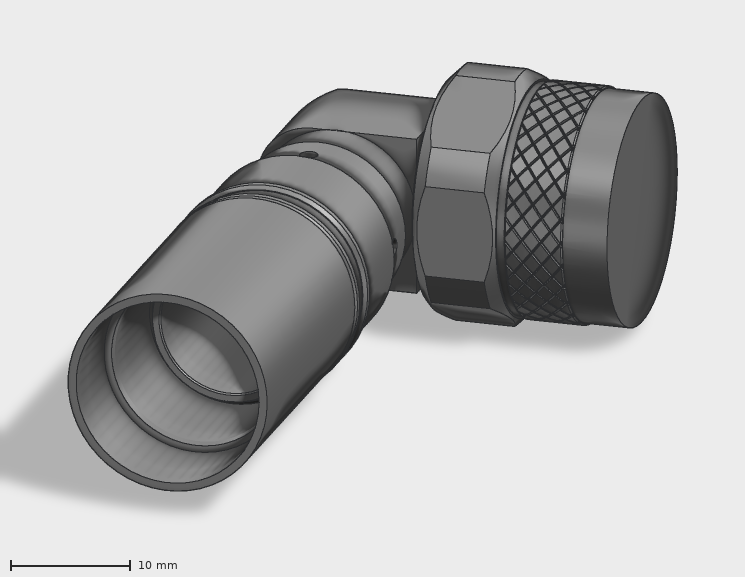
import cadquery as cq
import math


elbow_half = 7.0
elbow_half_height = 6.85
elbow_edge_radius = 4.85
elbow_corner_cut = 7.9

neck_radius = 6.9
neck_end = -11.4
groove_radius = 6.65
groove_end = -11.75
collar_radius = 7.5
collar_end = -17.8
body_radius = 8.4
body_end = -29.7
rim_outer_radius = 8.0
rim_end = -46.45

bead_radius = 8.8
bead_width = 1.2
bead_bevel = 0.3
bead_centers = (-26.2, -29.05)

sleeve_radius = 8.7
sleeve_offset = -0.05
sleeve_end = -54.3

bore_mouth_radius = 7.4
bore_radius = 7.3
bore_mouth_length = 0.65
bore_end = -36.2

tip_shoulder_radius = 7.0
tip_radius = 6.65
tip_bevel = bore_radius - tip_shoulder_radius
tip_length = 1.3
tip_bore_radius = 6.1
tip_bore_chamfer = 0.1
tip_bore_floor = -18.7

hole_diameter = 1.55
hole_depth = 1.95
hole_y = -14.9

pin_radius = 5.35
flange_start = 7.1
flange_radius = 8.7
nut_start = 7.5
nut_end = 14.85
nut_flat_half = 10.3
nut_corner_radius = 22.0 / 2
nut_back_radius = 9.75
nut_front_radius = 10.1
nose_radius = 9.9
nose_end = 24.55

knurl_start = 15.55
knurl_end = 20.7
knurl_radius = 10.1
knurl_bevel = 0.1
knurl_count = 30
knurl_angle_pitch = 360 / knurl_count
knurl_axial_pitch = 1.7
knurl_groove_slope = 16
knurl_groove_floor = 0.01
pad_base_height = 9.8
knurl_crossing = 17.95
knurl_rows = range(-3, 5)


def cylinder_y(radius, start, end, x=0):
    """Cylinder along Y between two Y positions."""
    return cq.Workplane("XZ", origin=(x, start, 0)).circle(radius).extrude(start - end)


def cylinder_x(radius, start, end):
    """Cylinder along X between two X positions."""
    return cq.Workplane("YZ", origin=(start, 0, 0)).circle(radius).extrude(end - start)


def make_elbow():
    """Block with rounded outer edges mitred at the 45 degree corner cut."""
    side = 2 * elbow_half
    block = cq.Workplane("XY").box(side, side, 2 * elbow_half_height)
    upright = block.edges("|Y and <X").fillet(elbow_edge_radius)
    crosswise = block.edges("|X and >Y").fillet(elbow_edge_radius)
    corner = (
        cq.Workplane("XY", origin=(0, 0, -elbow_half_height))
        .moveTo(-elbow_half, elbow_half)
        .lineTo(-elbow_half + elbow_corner_cut, elbow_half)
        .lineTo(-elbow_half, elbow_half - elbow_corner_cut)
        .close()
        .extrude(2 * elbow_half_height)
    )
    return upright.intersect(crosswise).cut(corner)


def make_bead(center):
    """Bevelled ring around the body."""
    return (
        cylinder_y(bead_radius, center + bead_width / 2, center - bead_width / 2)
        .faces("<Y or >Y")
        .chamfer(bead_bevel)
    )


def make_barrel():
    """Stepped barrel with beads, sleeve, bore and solder holes."""
    barrel = cylinder_y(neck_radius, -elbow_half, neck_end)
    barrel = barrel.union(cylinder_y(groove_radius, neck_end, groove_end))
    barrel = barrel.union(cylinder_y(collar_radius, groove_end, collar_end))
    barrel = barrel.union(cylinder_y(body_radius, collar_end, body_end))
    for center in bead_centers:
        barrel = barrel.union(make_bead(center))
    barrel = barrel.union(cylinder_y(sleeve_radius, body_end, sleeve_end, sleeve_offset))

    barrel = barrel.cut(cylinder_y(rim_outer_radius, rim_end, sleeve_end, sleeve_offset))
    tip_face = bore_end - tip_length
    tip_bore_inner_radius = tip_bore_radius - tip_bore_chamfer
    bore_profile = (
        cq.Workplane("XY")
        .moveTo(0, rim_end)
        .lineTo(bore_mouth_radius, rim_end)
        .lineTo(bore_radius, rim_end + bore_mouth_length)
        .lineTo(bore_radius, bore_end)
        .lineTo(tip_shoulder_radius, bore_end - tip_bevel)
        .lineTo(tip_radius, tip_face)
        .lineTo(tip_bore_radius, tip_face)
        .lineTo(tip_bore_inner_radius, tip_face + tip_bore_chamfer)
        .lineTo(tip_bore_inner_radius, tip_bore_floor)
        .lineTo(0, tip_bore_floor)
        .close()
    )
    barrel = barrel.cut(bore_profile.revolve(360, (0, 0, 0), (0, 1, 0)))

    drill = (
        cq.Workplane("XY", origin=(0, hole_y, collar_radius - hole_depth))
        .circle(hole_diameter / 2)
        .extrude(2 * hole_depth)
    )
    for angle in (0, 90, 180, 270):
        barrel = barrel.cut(drill.rotate((0, 0, 0), (0, 1, 0), angle))
    return barrel


def make_hexagon():
    """Hexagon with flats on +Y and -Y, turned and chamfered at both ends."""
    hexagon = (
        cq.Workplane("YZ", origin=(nut_start, 0, 0))
        .polygon(6, 2 * nut_flat_half, circumscribed=True)
        .extrude(nut_end - nut_start)
    )
    back_chamfer = nut_corner_radius - nut_back_radius
    front_chamfer = nut_corner_radius - nut_front_radius
    turned = (
        cq.Workplane("XY")
        .moveTo(nut_start, 0)
        .lineTo(nut_start, nut_back_radius)
        .lineTo(nut_start + back_chamfer, nut_corner_radius)
        .lineTo(nut_end - front_chamfer, nut_corner_radius)
        .lineTo(nut_end, nut_front_radius)
        .lineTo(nut_end, 0)
        .close()
        .revolve(360, (0, 0, 0), (1, 0, 0))
    )
    return hexagon.intersect(turned)


def make_pad(row, band):
    """One diamond pad of a row, trimmed to the knurled band."""
    half_length = knurl_axial_pitch / 2 - knurl_groove_floor
    half_width = pad_base_height * math.tan(math.radians(knurl_angle_pitch / 2)) - knurl_groove_floor
    center = knurl_crossing + row * knurl_axial_pitch / 2
    pad = (
        cq.Workplane("XY", origin=(center, 0, pad_base_height))
        .moveTo(-half_length, 0)
        .lineTo(0, -half_width)
        .lineTo(half_length, 0)
        .lineTo(0, half_width)
        .close()
        .extrude(knurl_radius - pad_base_height + knurl_groove_floor, taper=knurl_groove_slope)
    )
    return pad.intersect(band).val()


def make_knurl_pads():
    """All pads of the diamond knurl; neighbouring rows are half a pitch apart."""
    band = cylinder_x(knurl_radius, knurl_start, knurl_end).faces("<X or >X").chamfer(knurl_bevel)
    pads = []
    for row in knurl_rows:
        pad = make_pad(row, band)
        first_angle = knurl_angle_pitch / 2 * (row + 1)
        for index in range(knurl_count):
            angle = first_angle + index * knurl_angle_pitch
            pads.append(pad.rotate(cq.Vector(0, 0, 0), cq.Vector(1, 0, 0), angle))
    return pads


def make_coupling():
    """Link, flange, hexagon, knurled band and nose along the X axis."""
    coupling = cylinder_x(pin_radius, 0, nut_start)
    coupling = coupling.union(cylinder_x(flange_radius, flange_start, nut_start))
    coupling = coupling.union(make_hexagon())
    coupling = coupling.union(cylinder_x(nose_radius, nut_end, nose_end))
    return cq.Workplane("XY").newObject([coupling.val().fuse(*make_knurl_pads())])


result = make_elbow().union(make_barrel()).union(make_coupling())